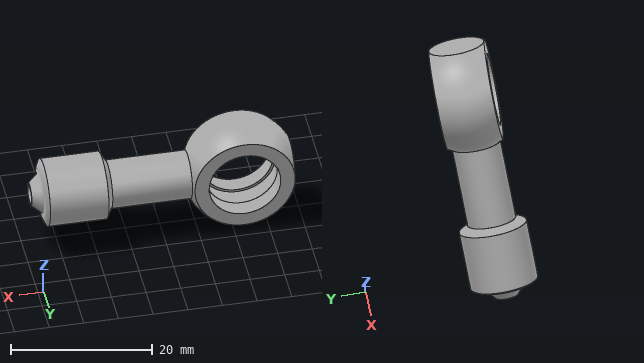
import cadquery as cq
import math

ball_radius = 8.25
eye_width = 8.0
eye_center_x = 7.25
bore_diameter = 10.3
groove_diameter = 11.02
groove_width = 3.0

shank_radius = 3.5
collar_radius = 4.88
collar_cone_start_x = 26.2
collar_start_x = 27.05
collar_end_x = 35.48
shoulder_x = 35.95
shoulder_radius = 3.5
nose_base_radius = 2.95
nose_fillet_radius = 0.38
nose_tip_radius = 1.65
total_length = 37.5
edge_search_margin = 0.05

passage_diameter = 2.62


def side_cylinder(diameter, width):
    """Cylinder along Y, centred in the eye."""
    return (
        cq.Workplane("XZ", origin=(eye_center_x, 0, 0))
        .circle(diameter / 2)
        .extrude(width / 2, both=True)
    )


def make_eye():
    flat_radius = math.sqrt(ball_radius**2 - eye_center_x**2)
    ball = (
        cq.Workplane("XY")
        .lineTo(0, flat_radius)
        .threePointArc((eye_center_x, ball_radius), (eye_center_x + ball_radius, 0))
        .close()
        .revolve(360, (0, 0, 0), (1, 0, 0))
    )
    trim = cq.Workplane("XY").box(
        total_length, eye_width, 2 * ball_radius, centered=(False, True, True)
    )
    return ball.intersect(trim)


def make_stem():
    rounding_length = shoulder_x - collar_end_x
    rounding_height = collar_radius - shoulder_radius
    shoulder_arc_radius = (rounding_length**2 + rounding_height**2) / (2 * rounding_length)
    stem = (
        cq.Workplane("XY")
        .moveTo(eye_center_x, 0)
        .lineTo(eye_center_x, shank_radius)
        .lineTo(collar_cone_start_x, shank_radius)
        .lineTo(collar_start_x, collar_radius)
        .lineTo(collar_end_x, collar_radius)
        .radiusArc((shoulder_x, shoulder_radius), shoulder_arc_radius)
        .lineTo(shoulder_x, nose_base_radius)
        .lineTo(total_length, nose_tip_radius)
        .lineTo(total_length, 0)
        .close()
        .revolve(360, (0, 0, 0), (1, 0, 0))
    )
    search_radius = nose_base_radius + edge_search_margin
    nose_base_edge = cq.selectors.BoxSelector(
        (shoulder_x - edge_search_margin, -search_radius, -search_radius),
        (shoulder_x + edge_search_margin, search_radius, search_radius),
        boundingbox=True,
    )
    return stem.edges(nose_base_edge).fillet(nose_fillet_radius)


def make_passage():
    return (
        cq.Workplane("YZ", origin=(eye_center_x, 0, 0))
        .circle(passage_diameter / 2)
        .extrude(total_length - eye_center_x)
    )


result = (
    make_eye()
    .union(make_stem())
    .cut(side_cylinder(bore_diameter, eye_width))
    .cut(side_cylinder(groove_diameter, groove_width))
    .cut(make_passage())
)